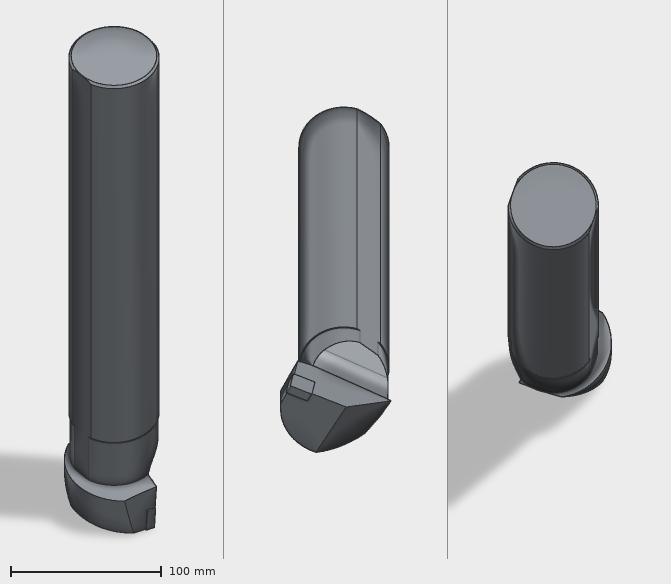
import cadquery as cq
import math

total_height = 400
shank_radius = 30.0
neck_relief = 0.7
neck_radius = shank_radius - neck_relief
flat_distance = 28.5
neck_bottom = 35.2
shank_bottom = 74.5
shank_chamfer = 1.5

head_radius = 38.5
head_center_x = 6.0
head_center_y = 2.0
head_top_slope = 12
underside_offset = 6.5

rake_fall_x = 0.16
rake_rise_z = 0.12
tip_x = 43.0
tip_y = -1.45
tip_z = -0.1
gullet_start = 33.2
gullet_radius = 22.0
gullet_turn = 46

insert_edge = 16
insert_thickness = 6.5
insert_nose_radius = 1.0
edge_lead = 5
head_inset = 1.0

reach = 240

rake_plane = cq.Plane(
    origin=(tip_x, tip_y, tip_z),
    xDir=(1, -rake_fall_x, 0),
    normal=(-rake_fall_x, -1, rake_rise_z),
)


def rhombus(edge, depth, inset):
    """Prism behind the rake plane, with its corner moved in from the tip by inset."""
    lead = math.radians(edge_lead)
    end_x, end_y = -edge * math.cos(lead), edge * math.sin(lead)
    side_x, side_y = -edge * math.sin(lead), edge * math.cos(lead)
    return (
        cq.Workplane(rake_plane)
        .moveTo(-inset, inset)
        .line(end_x, end_y)
        .line(side_x, side_y)
        .line(-end_x, -end_y)
        .close()
        .extrude(depth)
    )


def make_shank():
    neck = cq.Workplane().workplane(offset=neck_bottom).circle(neck_radius).extrude(
        shank_bottom - neck_bottom
    )
    bar = (
        cq.Workplane()
        .workplane(offset=shank_bottom)
        .circle(shank_radius)
        .extrude(total_height - shank_bottom)
        .faces(">Z")
        .chamfer(shank_chamfer)
    )
    between_flats = cq.Workplane().box(
        2 * shank_radius, 2 * flat_distance, total_height, centered=(True, True, False)
    )
    return neck.union(bar).intersect(between_flats)


def make_head():
    cylinder = (
        cq.Workplane()
        .workplane(offset=-neck_bottom)
        .center(head_center_x, head_center_y)
        .circle(head_radius)
        .extrude(2 * neck_bottom)
    )
    cone_radius = head_radius + neck_radius
    cone_drop = head_radius * math.tan(math.radians(head_top_slope))
    below_cone = (
        cq.Workplane("XZ")
        .moveTo(0, -neck_bottom)
        .lineTo(0, neck_bottom)
        .lineTo(neck_radius, neck_bottom)
        .lineTo(cone_radius, neck_bottom - cone_drop)
        .lineTo(cone_radius, -neck_bottom)
        .close()
        .revolve(360, (0, 0, 0), (0, 1, 0))
    )
    flanks = rhombus(reach, reach, head_inset)
    return cylinder.intersect(below_cone).intersect(flanks)


def make_underside_cutter():
    """Wedge below the 45 degree underside plane."""
    return (
        cq.Workplane("XZ")
        .moveTo(underside_offset + reach, -reach)
        .lineTo(underside_offset - reach, reach)
        .lineTo(underside_offset - reach, -reach)
        .close()
        .extrude(reach / 2, both=True)
    )


def make_gullet_cutter():
    """Space in front of the rake face, ending in a concave curve and a ramp out of the neck."""
    side_plane = cq.Plane(
        origin=rake_plane.origin, xDir=rake_plane.zDir, normal=-rake_plane.xDir
    )

    def arc_point(degrees):
        turn = math.radians(degrees)
        depth = -gullet_radius * (1 - math.cos(turn))
        height = gullet_start + gullet_radius * math.sin(turn)
        return depth, height

    return (
        cq.Workplane(side_plane)
        .moveTo(-2 * reach, -reach)
        .lineTo(0, -reach)
        .lineTo(0, gullet_start)
        .threePointArc(arc_point(gullet_turn / 2), arc_point(gullet_turn))
        .line(-reach, reach / math.tan(math.radians(gullet_turn)))
        .close()
        .extrude(reach, both=True)
    )


def make_insert():
    blank = rhombus(insert_edge, insert_thickness, 0)
    return blank.edges(cq.selectors.ParallelDirSelector(rake_plane.zDir)).fillet(insert_nose_radius)


insert = make_insert()
holder = (
    make_shank()
    .union(make_head())
    .cut(make_underside_cutter())
    .cut(make_gullet_cutter())
    .cut(insert)
)

result = cq.Compound.makeCompound([holder.solids().val(), insert.solids().val()])